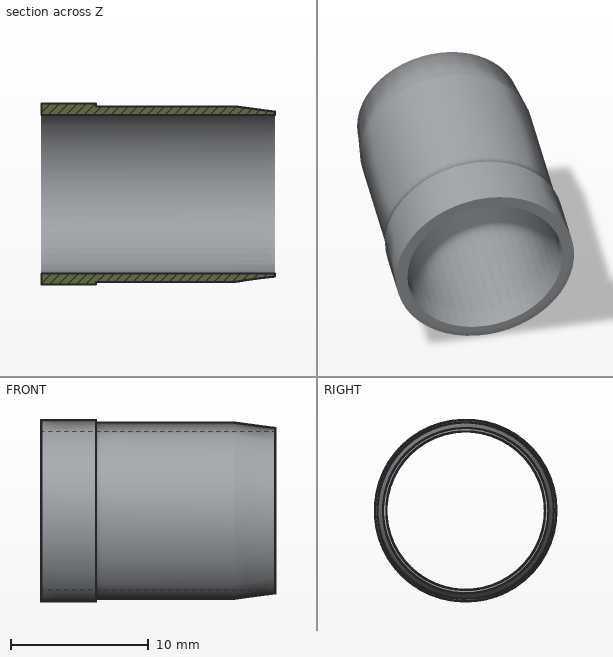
import cadquery as cq

total_length = 17.0
collar_length = 4.0
taper_length = 3.0
collar_diameter = 13.2
body_diameter = 12.8
tip_diameter = 12.0
bore_diameter = 11.5

taper_start = total_length - taper_length
bore_radius = bore_diameter / 2
collar_radius = collar_diameter / 2
body_radius = body_diameter / 2
tip_radius = tip_diameter / 2

wall_section = (
    cq.Workplane("XY")
    .moveTo(0, bore_radius)
    .lineTo(0, collar_radius)
    .lineTo(collar_length, collar_radius)
    .lineTo(collar_length, body_radius)
    .lineTo(taper_start, body_radius)
    .lineTo(total_length, tip_radius)
    .lineTo(total_length, bore_radius)
    .close()
)

result = wall_section.revolve(360, (0, 0, 0), (1, 0, 0))